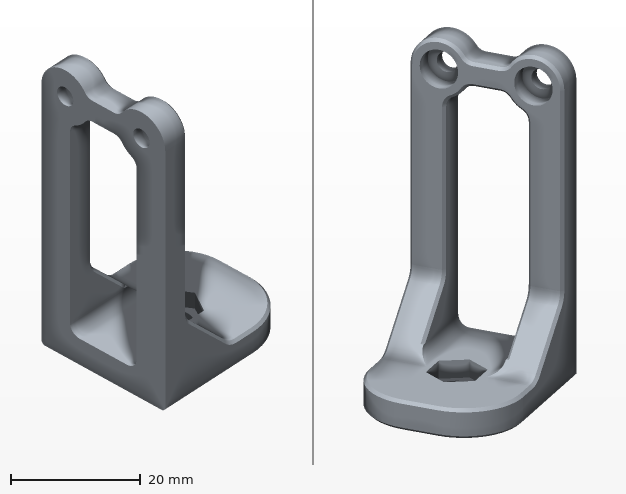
import cadquery as cq
import math

width = 26.0
depth = 30.0
height = 55.0
thickness = 5.0
gusset_leg = 10.0
gusset_blend = 3.0
base_corner_radius = 10.0
edge_chamfer = 0.5
ear_radius = 5.0
ear_hole_diameter = 3.4
ear_counterbore_diameter = 6.5
ear_counterbore_depth = 3.0
bar_height = 4.0
window_width = 13.95
blend_radius = 2.0
bolt_hole_diameter = 6.25
bolt_from_front = 16.0
nut_across_flats = 8.3
nut_depth = 3.0

ear_x = width / 2 - ear_radius
ear_z = height - ear_radius
bar_top = ear_z + bar_height / 2
bar_bottom = ear_z - bar_height / 2
window_half = window_width / 2

blend_reach = ear_radius + blend_radius
bar_blend_rise = bar_height / 2 + blend_radius
bar_blend_x = ear_x - math.sqrt(blend_reach**2 - bar_blend_rise**2)
side_blend_x = window_half - blend_radius
side_blend_z = ear_z - math.sqrt(blend_reach**2 - (ear_x - side_blend_x) ** 2)


def point_towards(start, target, distance):
    """Point at a distance from start on the line to target."""
    dx = target[0] - start[0]
    dz = target[1] - start[1]
    ratio = distance / math.hypot(dx, dz)
    return (start[0] + dx * ratio, start[1] + dz * ratio)


def arc_middle(center, start, end, radius):
    """Middle of the shorter arc from start to end."""
    chord_middle = ((start[0] + end[0]) / 2, (start[1] + end[1]) / 2)
    return point_towards(center, chord_middle, radius)


def mirrored(point):
    return (-point[0], point[1])


def add_arc(sketch, center, start, end, radius):
    return sketch.threePointArc(arc_middle(center, start, end, radius), end)


def side_profile():
    """L-shaped section with a 45 degree gusset, blended at both ends."""
    foot = thickness + gusset_leg
    section = (
        cq.Workplane("YZ")
        .polyline([(0, 0), (depth, 0), (depth, thickness), (foot, thickness),
                   (thickness, foot), (thickness, height), (0, height)])
        .close()
        .extrude(width / 2, both=True)
    )
    upper_edge = section.edges(cq.selectors.NearestToPointSelector((0, thickness, foot)))
    lower_edge = section.edges(cq.selectors.NearestToPointSelector((0, foot, thickness)))
    return upper_edge.add(lower_edge).fillet(gusset_blend)


def front_outline():
    """Upright outline with two round ears and a low bar between them."""
    ear = (ear_x, ear_z)
    blend = (bar_blend_x, bar_top + blend_radius)
    on_ear = point_towards(ear, blend, ear_radius)
    on_bar = (bar_blend_x, bar_top)
    half = width / 2
    sketch = (
        cq.Workplane("XZ").moveTo(-half, 0).lineTo(half, 0).lineTo(half, ear_z)
        .threePointArc((ear_x, height), on_ear)
    )
    sketch = add_arc(sketch, blend, on_ear, on_bar, blend_radius)
    sketch = sketch.lineTo(*mirrored(on_bar))
    sketch = add_arc(sketch, mirrored(blend), mirrored(on_bar), mirrored(on_ear), blend_radius)
    sketch = sketch.threePointArc((-ear_x, height), (-half, ear_z))
    return sketch.close().extrude(-depth)


def base_outline():
    """Plan outline with two round rear corners."""
    return (
        cq.Workplane("XY").rect(width, depth).extrude(height)
        .translate((0, depth / 2, 0))
        .edges("|Z and >Y").fillet(base_corner_radius)
    )


def window():
    """Opening through the upright and between the gussets, flush with the base."""
    ear = (ear_x, ear_z)
    side_blend = (side_blend_x, side_blend_z)
    on_side = (window_half, side_blend_z)
    ear_low = point_towards(ear, side_blend, ear_radius)
    bar_blend = (bar_blend_x, bar_bottom - blend_radius)
    ear_high = point_towards(ear, bar_blend, ear_radius)
    on_bar = (bar_blend_x, bar_bottom)
    corner = (side_blend_x, thickness + blend_radius)
    on_floor = (side_blend_x, thickness)
    wall_foot = (window_half, thickness + blend_radius)

    sketch = cq.Workplane("XZ").moveTo(*on_floor)
    sketch = add_arc(sketch, corner, on_floor, wall_foot, blend_radius)
    sketch = sketch.lineTo(*on_side)
    sketch = add_arc(sketch, side_blend, on_side, ear_low, blend_radius)
    sketch = add_arc(sketch, ear, ear_low, ear_high, ear_radius)
    sketch = add_arc(sketch, bar_blend, ear_high, on_bar, blend_radius)
    sketch = sketch.lineTo(0, bar_bottom).lineTo(0, thickness).close()
    half_window = sketch.extrude(-depth)
    return half_window.union(half_window.mirror("YZ"))


def chamfer_outer_edges(body):
    """Chamfer the rim of the rear and upper faces, and the underside except at the front."""
    underside = body.faces("<Z").edges("not <Y")
    body = underside.chamfer(edge_chamfer)
    rear_face = body.faces(cq.selectors.NearestToPointSelector((0, thickness, height / 2 + thickness)))
    return rear_face.edges("not <Z").chamfer(edge_chamfer)


def ear_holes():
    """Screw holes through the ears, counterbored from the rear."""
    places = [(-ear_x, ear_z), (ear_x, ear_z)]
    holes = cq.Workplane("XZ").pushPoints(places).circle(ear_hole_diameter / 2).extrude(-thickness)
    counterbores = (
        cq.Workplane("XZ", origin=(0, thickness, 0)).pushPoints(places)
        .circle(ear_counterbore_diameter / 2).extrude(ear_counterbore_depth)
    )
    return holes.union(counterbores)


def nut_seat():
    """Bolt hole through the base with a hexagonal recess on top."""
    nut_across_corners = nut_across_flats / math.cos(math.pi / 6)
    hole = cq.Workplane("XY").circle(bolt_hole_diameter / 2).extrude(thickness)
    recess = (
        cq.Workplane("XY").polygon(6, nut_across_corners).extrude(nut_depth)
        .rotate((0, 0, 0), (0, 0, 1), 30)
        .translate((0, 0, thickness - nut_depth))
    )
    return hole.union(recess).translate((0, bolt_from_front, 0))


def window_rim_chips(body):
    """Material removed to chamfer the rear rim of the window above its lower corner rounds."""
    wall_foot = thickness + blend_radius
    deep_slot = cq.Workplane("XY").rect(window_width, 2 * depth).extrude(wall_foot)
    slotted = body.cut(window()).cut(deep_slot)
    margin = edge_chamfer / 2
    reach = window_half + margin
    rim = slotted.edges(cq.selectors.BoxSelector(
        (-reach, thickness - margin, thickness - margin), (reach, depth - margin, ear_z)))
    chips = slotted.cut(rim.chamfer(edge_chamfer))
    upper_space = (
        cq.Workplane("XY").workplane(offset=wall_foot).rect(width, 2 * depth).extrude(height)
    )
    return chips.intersect(upper_space)


body = side_profile().intersect(front_outline()).intersect(base_outline())
body = chamfer_outer_edges(body)
rim_chips = window_rim_chips(body)
body = body.cut(window()).cut(rim_chips)
result = body.cut(ear_holes()).cut(nut_seat())